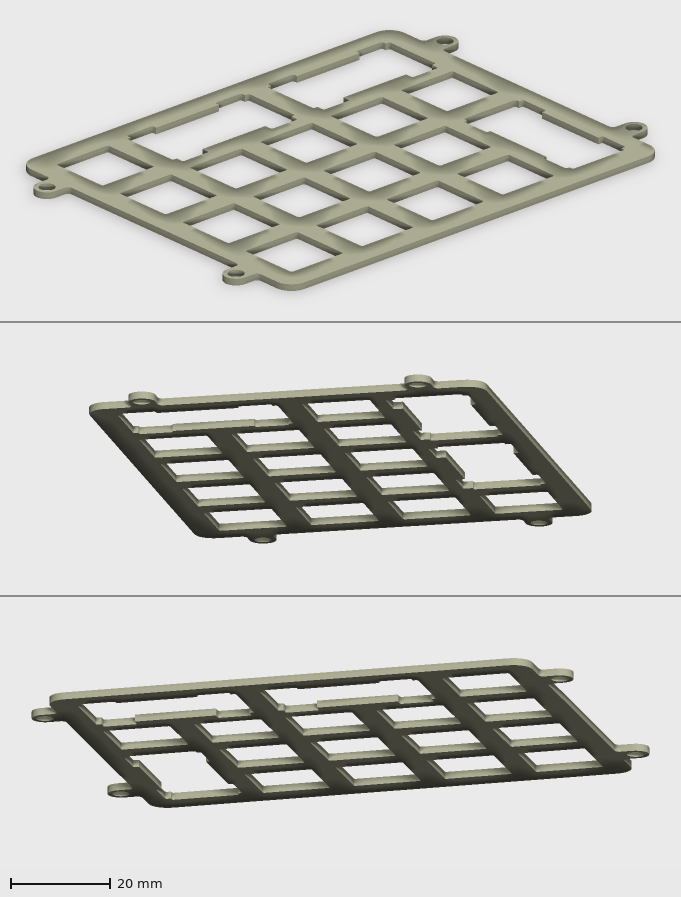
import cadquery as cq

plate_width = 82.2
plate_length = 101.0
thickness = 1.5
plate_corner_radius = 4.0

columns = 4
rows = 5
outer_column_spacing = 57.2
key_pitch = outer_column_spacing / (columns - 1)
key_size = 14.0
opening_corner_radius = 0.5

double_key_length = key_size + key_pitch
stabiliser_spacing = 24.0
notch_width = 7.0
upright_notch_reach_left = 1.1
upright_notch_reach_right = 1.9
flat_notch_reach_below = 0.9
flat_notch_reach_above = 1.1

overall_length = 113.2
ear_radius = 2.7
ear_hole_diameter = 3.5
ear_root_radius = 1.0

ear_x = outer_column_spacing / 2
ear_y = overall_length / 2 - ear_radius
ear_centres = [(x, y) for x in (-ear_x, ear_x) for y in (-ear_y, ear_y)]


def grid_position(column, row):
    """Centre of a grid cell, counted from the left column and the front row."""
    x = (column - (columns - 1) / 2) * key_pitch
    y = (row - (rows - 1) / 2) * key_pitch
    return x, y


def rounded_block(width, length, radius, x=0, y=0):
    """Block of plate thickness with rounded vertical edges, centred on (x, y)."""
    block = cq.Workplane("XY").box(width, length, thickness)
    return block.edges("|Z").fillet(radius).translate((x, y, 0))


def opening(width, length, x, y):
    return rounded_block(width, length, opening_corner_radius, x, y)


def upright_double_key(column, front_row):
    """Cutter for a double key that spans two rows."""
    x, y = grid_position(column, front_row + 0.5)
    cutter = opening(key_size, double_key_length, x, y)
    notch_length = upright_notch_reach_left + key_size + upright_notch_reach_right
    notch_x = x + (upright_notch_reach_right - upright_notch_reach_left) / 2
    for side in (-1, 1):
        notch_y = y + side * stabiliser_spacing / 2
        cutter = cutter.union(opening(notch_length, notch_width, notch_x, notch_y))
    return cutter


def flat_double_key(left_column, row):
    """Cutter for a double key that spans two columns."""
    x, y = grid_position(left_column + 0.5, row)
    cutter = opening(double_key_length, key_size, x, y)
    notch_length = flat_notch_reach_below + key_size + flat_notch_reach_above
    notch_y = y + (flat_notch_reach_above - flat_notch_reach_below) / 2
    for side in (-1, 1):
        notch_x = x + side * stabiliser_spacing / 2
        cutter = cutter.union(opening(notch_width, notch_length, notch_x, notch_y))
    return cutter


plate = rounded_block(plate_width, plate_length, plate_corner_radius)
for x, y in ear_centres:
    tab = cq.Workplane("XY").box(2 * ear_radius, ear_y, thickness).translate((x, y / 2, 0))
    tip = cq.Workplane("XY").circle(ear_radius).extrude(thickness / 2, both=True)
    plate = plate.union(tab).union(tip.translate((x, y, 0)))

root_margin = 0.1
for y in (-plate_length / 2, plate_length / 2):
    root_zone = cq.selectors.BoxSelector(
        (-ear_x - ear_radius - root_margin, y - root_margin, -thickness),
        (ear_x + ear_radius + root_margin, y + root_margin, thickness),
    )
    plate = plate.edges("|Z").edges(root_zone).fillet(ear_root_radius)

ear_holes = cq.Workplane("XY").pushPoints(ear_centres).circle(ear_hole_diameter / 2)
plate = plate.cut(ear_holes.extrude(thickness / 2, both=True))

plate = plate.cut(upright_double_key(0, 1))
plate = plate.cut(upright_double_key(0, 3))
plate = plate.cut(flat_double_key(2, 4))

double_key_cells = [(0, 1), (0, 2), (0, 3), (0, 4), (2, 4), (3, 4)]
for column in range(columns):
    for row in range(rows):
        if (column, row) not in double_key_cells:
            plate = plate.cut(opening(key_size, key_size, *grid_position(column, row)))

result = plate